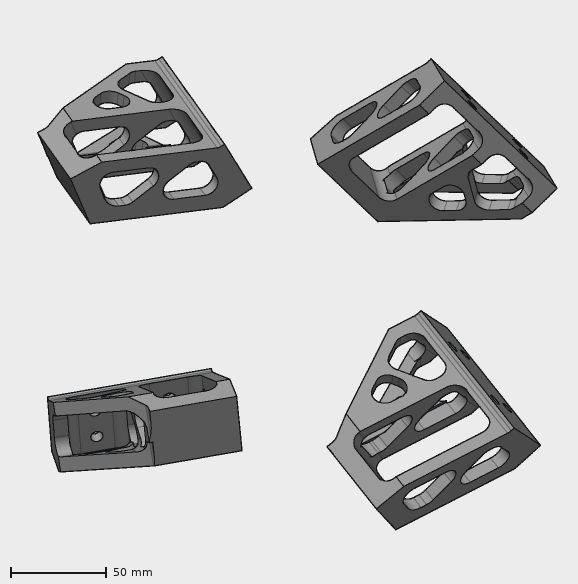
import cadquery as cq
import math

width = 88.2
top_z = 19.0
bottom_z = -19.1
rear_edge_z = 20.8
mount_height = 35.6
mount_tilt = 32.4
bend_y = -69.9
front_tilt = 26.0
front_chamfer = 18.7
ridge_fillet = 4.2

rear_wall = 7.1
front_wall = 11.1
left_wall = 7.8
mid_wall_left = 39.5
mid_wall_right = 46.9
right_wall_face = 80.8
gap_top = 11.7
gap_bottom = -11.1
gap_overrun = 5.3
gap_bend_radius = 10.6
rim = 6.7

diagonal_end_x = 41.4
upper_diagonal = (-20.4, -81.6)
lower_diagonal = (-4.6, -72.4)
upper_strut_y = -20.6
lower_strut_y = -7.5
strut_width = 4.6

corner_radius = 6.7
gap_fillet = 5.0
plate_split_z = gap_bottom + gap_fillet
wall_overlap = 1.1
reach = 211.2
margin = 10.6

strut_slope = 38.2
rear_strut_y = -32.0
front_strut_y = -38.1
right_window_bottom = -10.0
side_window_rear_wall = 12.8
side_window_front_wall = 12.5
side_window_toe_radius = 9.5

hole_diameter = 6.4
hole_overrun = 1.1
hole_columns = (23.5, 63.6)
hole_rows = (9.3, 26.0)

roll, pitch, yaw = -9.7, -7.9, -3.4


def sind(angle):
    return math.sin(math.radians(angle))


def cosd(angle):
    return math.cos(math.radians(angle))


def tand(angle):
    return math.tan(math.radians(angle))


def rear_y(z, inset=0.0):
    """Y of a plane parallel to the mounting face, at height z."""
    return (rear_edge_z - z) * tand(mount_tilt) - inset / cosd(mount_tilt)


front_corner = (
    bend_y - front_chamfer * cosd(front_tilt),
    top_z - front_chamfer * sind(front_tilt),
)


def front_y(z, inset=0.0):
    """Y of a plane parallel to the front face, at height z."""
    return front_corner[0] + (front_corner[1] - z) * tand(front_tilt) + inset / cosd(front_tilt)


def across(points, x_from, x_to):
    """Prism of a Y-Z outline, running along X."""
    return cq.Workplane("YZ", origin=(x_from, 0, 0)).polyline(points).close().extrude(x_to - x_from)


def upright(points, z_from, z_to):
    """Prism of an X-Y outline, running along Z."""
    return cq.Workplane("XY", origin=(0, 0, z_from)).polyline(points).close().extrude(z_to - z_from)


def body():
    """Six-sided section with a filleted ridge along its upper rear edge."""
    ridge_foot_y = -(rear_edge_z - top_z) / tand(mount_tilt)
    heel_y = mount_height * sind(mount_tilt)
    heel_z = rear_edge_z - mount_height * cosd(mount_tilt)
    foot_y = heel_y - (heel_z - bottom_z) / tand(mount_tilt)
    block = across(
        [
            (0, rear_edge_z),
            (heel_y, heel_z),
            (foot_y, bottom_z),
            (front_y(bottom_z), bottom_z),
            front_corner,
            (bend_y, top_z),
            (ridge_foot_y, top_z),
        ],
        0,
        width,
    )
    ridge_foot = cq.selectors.NearestToPointSelector((width / 2, ridge_foot_y, top_z))
    return block.edges(ridge_foot).fillet(ridge_fillet)


def diagonal_slope(diagonal):
    return (diagonal[1] - diagonal[0]) / diagonal_end_x


def diagonal_waste(diagonal, z_from, z_to):
    """Corner outside a plate's diagonal edge, ending in a small concave fillet."""
    start, end = diagonal
    waste = upright(
        [
            (-margin, start - margin * diagonal_slope(diagonal)),
            (diagonal_end_x, end),
            (diagonal_end_x, -reach),
            (-margin, -reach),
        ],
        z_from,
        z_to,
    )
    tip = cq.selectors.NearestToPointSelector((diagonal_end_x, end, (z_from + z_to) / 2))
    return waste.edges(tip).fillet(gap_fillet)


def plate_windows(diagonal, strut_y, z_from, z_to):
    """The two rounded openings of a plate, either side of a strut square to its diagonal."""
    slope = diagonal_slope(diagonal)
    inner_start = diagonal[0] + rim * math.hypot(1, slope)
    strut_rise = -1 / slope
    front_strut = strut_y - strut_width * math.hypot(1, strut_rise)

    def diagonal_y(x):
        return inner_start + slope * x

    def meeting(strut_at_wall):
        x = (strut_at_wall - strut_rise * mid_wall_left - inner_start) / (slope - strut_rise)
        return (x, diagonal_y(x))

    rear = upright(
        [
            (left_wall, reach),
            (left_wall, diagonal_y(left_wall)),
            meeting(strut_y),
            (mid_wall_left, strut_y),
            (mid_wall_left, reach),
        ],
        z_from,
        z_to,
    )
    front = upright(
        [meeting(front_strut), (mid_wall_left, diagonal_y(mid_wall_left)), (mid_wall_left, front_strut)],
        z_from,
        z_to,
    )
    rear = rear.edges("|Z").fillet(corner_radius)
    return rear, front.edges("|Z").fillet(corner_radius)


def bay(x_from, x_to):
    """Full-height bay between slanted rear and front walls, with rounded corners."""
    high, low = top_z + margin, bottom_z - margin
    block = across(
        [
            (rear_y(high, rear_wall), high),
            (rear_y(low, rear_wall), low),
            (front_y(low, front_wall), low),
            (front_y(high, front_wall), high),
        ],
        x_from,
        x_to,
    )
    return block.faces(">Y or <Y").edges("not |X").fillet(corner_radius)


def rear_chamber():
    """Space ahead of the rear wall, left of the middle wall, open towards the front."""
    high, low = top_z + margin, bottom_z - margin
    block = across(
        [
            (rear_y(high, rear_wall), high),
            (rear_y(low, rear_wall), low),
            (-reach, low),
            (-reach, high),
        ],
        left_wall,
        mid_wall_left,
    )
    return block.faces(">Y").edges("not |X").fillet(corner_radius)


def plate_gap():
    """Space between the plates, filleted where they join the middle wall."""
    plate = top_z - gap_top
    gap_bend_y = bend_y + plate * tand(front_tilt / 2)
    gap_front_y = front_corner[0] - gap_overrun
    gap_front_z = gap_top - (gap_bend_y - gap_front_y) * tand(front_tilt)
    block = across(
        [
            (reach, gap_bottom),
            (gap_front_y, gap_bottom),
            (gap_front_y, gap_front_z),
            (gap_bend_y, gap_top),
            (reach, gap_top),
        ],
        -margin,
        mid_wall_left,
    )
    bend = cq.selectors.NearestToPointSelector((mid_wall_left / 2, gap_bend_y, gap_top))
    block = block.edges(bend).fillet(gap_bend_radius)
    return block.faces(">X").edges("not(<Y or >Y)").fillet(gap_fillet)


def rear_side_window(bottom, x_from, x_to):
    """Opening between the rear wall and the slanted strut of a side wall."""
    outline = [(rear_y(z, side_window_rear_wall), z) for z in (gap_top, bottom)]
    outline += [(rear_strut_y + z / tand(strut_slope), z) for z in (bottom, gap_top)]
    return across(outline, x_from, x_to).edges("|X").fillet(corner_radius)


def front_side_window(bottom, x_from, x_to):
    """Opening between the slanted strut and the front wall of a side wall."""
    outline = [(front_strut_y + z / tand(strut_slope), z) for z in (gap_top, bottom)]
    outline += [(front_y(z, side_window_front_wall), z) for z in (bottom, gap_top)]
    middle_x = (x_from + x_to) / 2
    window = across(outline, x_from, x_to)
    radii = (corner_radius, corner_radius, side_window_toe_radius, corner_radius)
    for (y, z), radius in zip(outline, radii):
        corner = cq.selectors.NearestToPointSelector((middle_x, y, z))
        window = window.edges(corner).fillet(radius)
    return window


def mounting_holes():
    face = cq.Plane(
        origin=(0, 0, rear_edge_z),
        xDir=(1, 0, 0),
        normal=(0, -cosd(mount_tilt), -sind(mount_tilt)),
    )
    centres = [(x, -row) for x in hole_columns for row in hole_rows]
    return cq.Workplane(face).pushPoints(centres).circle(hole_diameter / 2).extrude(rear_wall + hole_overrun)


bracket = body()

plates = (
    (upper_diagonal, upper_strut_y, plate_split_z, top_z + margin),
    (lower_diagonal, lower_strut_y, bottom_z - margin, plate_split_z),
)
chamber = rear_chamber()
for diagonal, strut_y, z_from, z_to in plates:
    bracket = bracket.cut(diagonal_waste(diagonal, z_from, z_to))
    rear_window, front_window = plate_windows(diagonal, strut_y, z_from, z_to)
    bracket = bracket.cut(rear_window.intersect(chamber)).cut(front_window)

gap = plate_gap()
bracket = bracket.cut(gap.intersect(chamber))

left_opening_y = rear_y(gap_top, side_window_rear_wall) - corner_radius
ahead = cq.Workplane("XY").box(reach, reach, reach).translate((0, left_opening_y - reach / 2, 0))
bracket = bracket.cut(gap.intersect(ahead))

bracket = bracket.cut(bay(mid_wall_right, right_wall_face))
bracket = bracket.cut(rear_side_window(gap_bottom, -margin, left_wall + wall_overlap))
for bottom, x_from, x_to in (
    (gap_bottom, mid_wall_left - wall_overlap, mid_wall_right + wall_overlap),
    (right_window_bottom, right_wall_face - wall_overlap, width + margin),
):
    bracket = bracket.cut(rear_side_window(bottom, x_from, x_to))
    bracket = bracket.cut(front_side_window(bottom, x_from, x_to))
bracket = bracket.cut(mounting_holes())

result = (
    bracket.rotate((0, 0, 0), (1, 0, 0), roll)
    .rotate((0, 0, 0), (0, 1, 0), pitch)
    .rotate((0, 0, 0), (0, 0, 1), yaw)
)